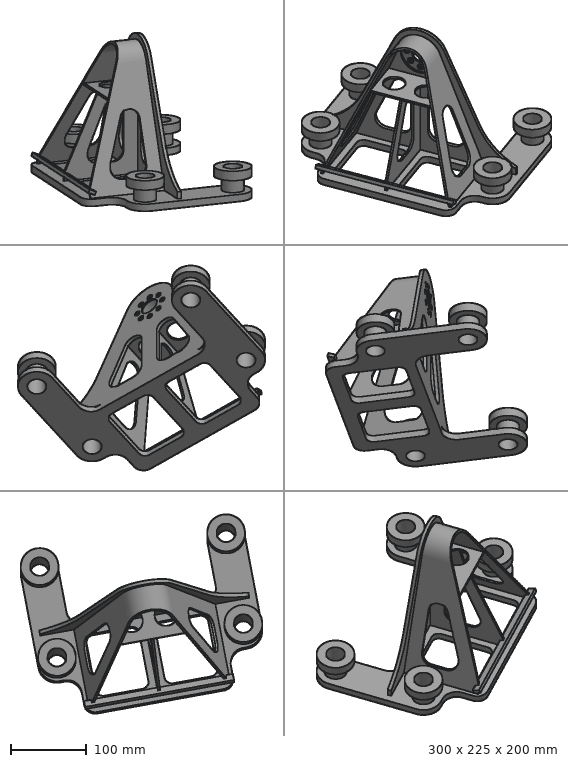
import cadquery as cq
import math


overall_width = 300.0
pad_diameter = 50.0
pad_radius = pad_diameter / 2
pad_x = (overall_width - pad_diameter) / 2
front_pad_y = -40.0
rear_pad_y = 85.0
neck_diameter = 30.0
pad_hole_diameter = 25.0
pad_bottom = 29.0
pad_top = 42.0

base_thickness = 10.0
overall_length = 225.0
base_front_y = rear_pad_y + pad_radius - overall_length
tongue_half_width = pad_x - pad_radius
tongue_corner_radius = 15.0
notch_radius = 20.0
base_window_inner_x = 10.8
base_window_outer_x = 81.5
base_window_front_y = -95.0
base_window_rear_y = -10.0
base_window_radius = 10.0

plate_thickness = 5.0
hub_z = 160.0
plate_top_radius = 40.0
plate_flank_angle = math.radians(25)
plate_foot_half_width = 140.0
plate_foot_top = 19.5
plate_flare_top = 70.8
plate_window_inner_x = 12.3
plate_window_top_outer_x = 35.5
plate_window_bottom_outer_x = 73.0

window_bottom = 29.0
window_top = 113.7
window_bottom_radius = 15.0
plate_window_top_radius = 13.5
hood_window_top_radius = 12.5
hood_window_margin = 20.0

sheet_thickness = 3.0
hood_radius = 32.0
hood_foot_half_width = 94.8
hood_front_y = -105.0
hood_front_top = 19.5
hood_crest_front_y = -33.0

seat_diameter = 55.0
seat_depth = 3.0
hub_bore_diameter = 25.0
bolt_count = 8
bolt_circle_radius = 20.0
bolt_hole_diameter = 4.0
bolt_counterbore_diameter = 8.0
bolt_counterbore_depth = 1.0

shelf_top = 127.2
shelf_bottom = shelf_top - sheet_thickness
shelf_front_y = -57.5
shelf_hole_diameter = 30.0
shelf_hole_x = 23.0
shelf_hole_y = -28.8

bar_half_length = tongue_half_width
bar_depth = 10.0
bar_thickness = 5.0

foot_rise = hub_z - base_thickness
foot_distance = math.hypot(hood_foot_half_width, foot_rise)
hood_flank_angle = math.atan2(hood_foot_half_width, foot_rise) - math.asin(hood_radius / foot_distance)
hood_crest_z = hub_z + hood_radius
front_run = hood_crest_front_y - hood_front_y
front_rise = hood_crest_z - hood_front_top
front_angle = math.atan2(front_run, front_rise)


def facing_front(y):
    """Sketch plane parallel to XZ at the given Y; extrudes toward -Y."""
    return cq.Workplane("XZ", origin=(0, y, 0))


def tangent_point(radius, flank_angle):
    """Right-hand point where a flank leaves the arc around the hub axis."""
    return radius * math.cos(flank_angle), hub_z + radius * math.sin(flank_angle)


def base_frame():
    """Flat frame made as its right half, with one window each side of the centre, then mirrored."""
    pad_front_y = front_pad_y - pad_radius
    half = (
        cq.Workplane("XY")
        .moveTo(0, plate_thickness)
        .lineTo(tongue_half_width - notch_radius, plate_thickness)
        .radiusArc((tongue_half_width, plate_thickness + notch_radius), -notch_radius)
        .lineTo(tongue_half_width, rear_pad_y)
        .threePointArc((pad_x, rear_pad_y + pad_radius), (overall_width / 2, rear_pad_y))
        .lineTo(overall_width / 2, front_pad_y)
        .radiusArc((pad_x, pad_front_y), pad_radius)
        .lineTo(tongue_half_width + notch_radius, pad_front_y)
        .radiusArc((tongue_half_width, pad_front_y - notch_radius), -notch_radius)
        .lineTo(tongue_half_width, base_front_y + tongue_corner_radius)
        .radiusArc((tongue_half_width - tongue_corner_radius, base_front_y), tongue_corner_radius)
        .lineTo(0, base_front_y)
        .close()
        .extrude(base_thickness)
    )
    window_width = base_window_outer_x - base_window_inner_x
    window_length = base_window_rear_y - base_window_front_y
    window = (
        cq.Workplane("XY")
        .center(base_window_inner_x + window_width / 2, base_window_front_y + window_length / 2)
        .rect(window_width, window_length)
        .extrude(base_thickness)
        .edges("|Z")
        .fillet(base_window_radius)
    )
    half = half.cut(window)
    return half.union(half.mirror("YZ"))


def pad_spools():
    """Necks with wider flanges, and the bores that run through them and the base."""
    centres = [(side * pad_x, y) for side in (-1, 1) for y in (front_pad_y, rear_pad_y)]
    necks = cq.Workplane("XY").pushPoints(centres).circle(neck_diameter / 2).extrude(pad_bottom)
    flanges = (
        cq.Workplane("XY", origin=(0, 0, pad_bottom))
        .pushPoints(centres)
        .circle(pad_radius)
        .extrude(pad_top - pad_bottom)
    )
    holes = cq.Workplane("XY").pushPoints(centres).circle(pad_hole_diameter / 2).extrude(pad_top)
    return necks.union(flanges), holes


def upright_plate():
    """Rounded triangular plate with flared feet, made as its right half and mirrored."""
    shoulder_x, shoulder_z = tangent_point(plate_top_radius, plate_flank_angle)
    flare_x = shoulder_x + (shoulder_z - plate_flare_top) * math.tan(plate_flank_angle)
    half = (
        facing_front(plate_thickness)
        .moveTo(0, hub_z + plate_top_radius)
        .radiusArc((shoulder_x, shoulder_z), plate_top_radius)
        .lineTo(flare_x, plate_flare_top)
        .tangentArcPoint((plate_foot_half_width, plate_foot_top), relative=False)
        .lineTo(plate_foot_half_width, base_thickness)
        .lineTo(0, base_thickness)
        .close()
        .extrude(plate_thickness)
    )
    window = (
        facing_front(plate_thickness)
        .polyline([
            (plate_window_inner_x, window_bottom),
            (plate_window_bottom_outer_x, window_bottom),
            (plate_window_top_outer_x, window_top),
            (plate_window_inner_x, window_top),
        ])
        .close()
        .extrude(plate_thickness)
        .edges("|Y and <Z")
        .fillet(window_bottom_radius)
        .edges("|Y and >Z")
        .fillet(plate_window_top_radius)
    )
    half = half.cut(window)
    return half.union(half.mirror("YZ"))


def arch_block(radius):
    """Solid arch around the hub axis with flanks at the hood angle, from the plate to the hood front."""
    shoulder_x, shoulder_z = tangent_point(radius, hood_flank_angle)
    foot_x = shoulder_x + (shoulder_z - base_thickness) * math.tan(hood_flank_angle)
    return (
        facing_front(0)
        .moveTo(-foot_x, base_thickness)
        .lineTo(-shoulder_x, shoulder_z)
        .threePointArc((0, hub_z + radius), (shoulder_x, shoulder_z))
        .lineTo(foot_x, base_thickness)
        .close()
        .extrude(-hood_front_y)
    )


def side_web(half_width, top_front_y, top_z):
    """Side shape with a sloping front that ends at the given top corner, extruded across X."""
    return (
        cq.Workplane("YZ")
        .polyline([
            (0, base_thickness),
            (hood_front_y, base_thickness),
            (hood_front_y, hood_front_top),
            (top_front_y, top_z),
            (0, top_z),
        ])
        .close()
        .extrude(half_width, both=True)
    )


def hood_window():
    """Opening through both hood walls and the centre rib, parallel to the sloping front."""
    def sloped_edge_y(z):
        front_y = hood_front_y + (z - hood_front_top) * math.tan(front_angle)
        return front_y + hood_window_margin / math.cos(front_angle)

    return (
        cq.Workplane("YZ")
        .polyline([
            (-hood_window_margin, window_bottom),
            (sloped_edge_y(window_bottom), window_bottom),
            (sloped_edge_y(window_top), window_top),
            (-hood_window_margin, window_top),
        ])
        .close()
        .extrude(hood_foot_half_width, both=True)
        .edges("|X and <Z")
        .fillet(window_bottom_radius)
        .edges("|X and >Z")
        .fillet(hood_window_top_radius)
    )


def hood():
    """Arched walls, the centre rib and the shelf between them."""
    outer_arch = arch_block(hood_radius)
    inner_arch = arch_block(hood_radius - sheet_thickness)
    walls = outer_arch.cut(inner_arch)
    walls = walls.intersect(side_web(hood_foot_half_width, hood_crest_front_y, hood_crest_z))
    rib = side_web(sheet_thickness / 2, shelf_front_y, shelf_bottom)
    webs = walls.union(rib).cut(hood_window())
    shelf = (
        cq.Workplane("XY", origin=(0, shelf_front_y / 2, shelf_bottom))
        .rect(2 * hood_foot_half_width, -shelf_front_y)
        .extrude(sheet_thickness)
        .intersect(outer_arch)
    )
    shelf_holes = (
        cq.Workplane("XY", origin=(0, shelf_hole_y, shelf_bottom))
        .pushPoints([(-shelf_hole_x, 0), (shelf_hole_x, 0)])
        .circle(shelf_hole_diameter / 2)
        .extrude(sheet_thickness)
    )
    return webs.union(shelf.cut(shelf_holes))


def tie_bar():
    """Flat bar centred on the corner where the sloping front meets the upright front edge."""
    return (
        cq.Workplane("YZ", origin=(0, hood_front_y, hood_front_top))
        .transformed(rotate=(0, 0, -math.degrees(front_angle)))
        .rect(bar_depth, bar_thickness)
        .extrude(bar_half_length, both=True)
    )


def hub_cutout():
    """Everything removed from the plate at the hub, worked from the seat floor."""
    seat = facing_front(0).center(0, hub_z).circle(seat_diameter / 2).extrude(-seat_depth)
    floor = facing_front(seat_depth).center(0, hub_z)
    through = seat_depth - plate_thickness
    bore = floor.circle(hub_bore_diameter / 2).extrude(through)
    ring = floor.polarArray(bolt_circle_radius, 0, 360, bolt_count)
    bolts = ring.circle(bolt_hole_diameter / 2).extrude(through)
    counterbores = ring.circle(bolt_counterbore_diameter / 2).extrude(-bolt_counterbore_depth)
    return seat.union(bore).union(bolts).union(counterbores)


spools, spool_holes = pad_spools()
result = base_frame().union(spools).cut(spool_holes)
result = result.union(upright_plate()).union(hood()).union(tie_bar())
result = result.cut(hub_cutout())